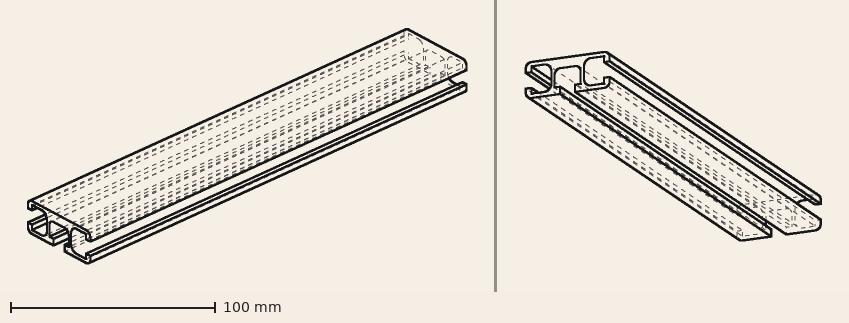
import cadquery as cq

width = 45.0
length = 250.0
height = 18.5
outer_radius = 3.0

mouth = 8.0
side_wall = 2.2
side_lip = 3.0
web_outer_offset = 8.8
side_slot_radius = 3.8

bottom_lip = 3.8
bottom_slot_width = 14.0
bottom_slot_roof = 5.2
bottom_slot_radius = 3.0


def bar(x_min, x_max, z_min, z_max):
    """Rectangular bar running the full length along Y, centred on Y = 0."""
    return cq.Workplane("XY").box(
        x_max - x_min, length, z_max - z_min
    ).translate(((x_min + x_max) / 2, 0, (z_min + z_max) / 2))


def side_slot():
    """Slot on the +X side: a chamber with rounded inner corners and a mouth."""
    half_chamber = height / 2 - side_wall
    chamber = bar(web_outer_offset, width / 2 - side_lip, -half_chamber, half_chamber)
    chamber = chamber.edges("|Y and <X").fillet(side_slot_radius)
    opening = bar(web_outer_offset + side_slot_radius, width / 2, -mouth / 2, mouth / 2)
    return chamber.union(opening)


def bottom_slot():
    """Slot on the -Z side: a chamber with rounded roof corners and a mouth."""
    roof = height / 2 - bottom_slot_roof
    floor = -height / 2 + bottom_lip
    chamber = bar(-bottom_slot_width / 2, bottom_slot_width / 2, floor, roof)
    chamber = chamber.edges("|Y and >Z").fillet(bottom_slot_radius)
    opening = bar(-mouth / 2, mouth / 2, -height / 2, floor)
    return chamber.union(opening)


profile = bar(-width / 2, width / 2, -height / 2, height / 2)
profile = profile.edges("|Y").fillet(outer_radius)

right_slot = side_slot()
left_slot = right_slot.mirror("YZ")

result = profile.cut(right_slot).cut(left_slot).cut(bottom_slot())